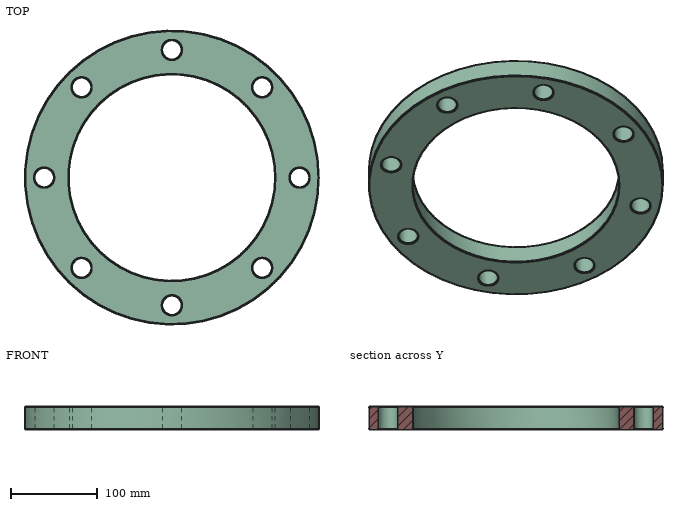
import cadquery as cq

outer_diameter = 340.0
bore_diameter = 238.0
thickness = 27.0
edge_chamfer = 1.0

bolt_circle_diameter = 295.0
bolt_hole_diameter = 22.0
bolt_hole_count = 8
bolt_hole_chamfer = 1.0


def make_ring():
    """Flat ring centred on the Z axis, with all four rims chamfered."""
    ring = (
        cq.Workplane("XY")
        .circle(outer_diameter / 2)
        .circle(bore_diameter / 2)
        .extrude(thickness)
    )
    return ring.faces("<Z or >Z").edges().chamfer(edge_chamfer)


def make_bolt_hole_cutters():
    """Through cutters on the bolt circle, flared at both ends to break the hole edges."""
    hole_radius = bolt_hole_diameter / 2
    mouth_radius = hole_radius + bolt_hole_chamfer
    cutter = (
        cq.Workplane("XZ")
        .polyline([
            (0, 0),
            (mouth_radius, 0),
            (hole_radius, bolt_hole_chamfer),
            (hole_radius, thickness - bolt_hole_chamfer),
            (mouth_radius, thickness),
            (0, thickness),
        ])
        .close()
        .revolve(360, (0, 0), (0, 1))
        .val()
    )
    return (
        cq.Workplane("XY")
        .polarArray(bolt_circle_diameter / 2, 0, 360, bolt_hole_count)
        .eachpoint(lambda location: cutter.moved(location), combine=False)
    )


result = make_ring().cut(make_bolt_hole_cutters())